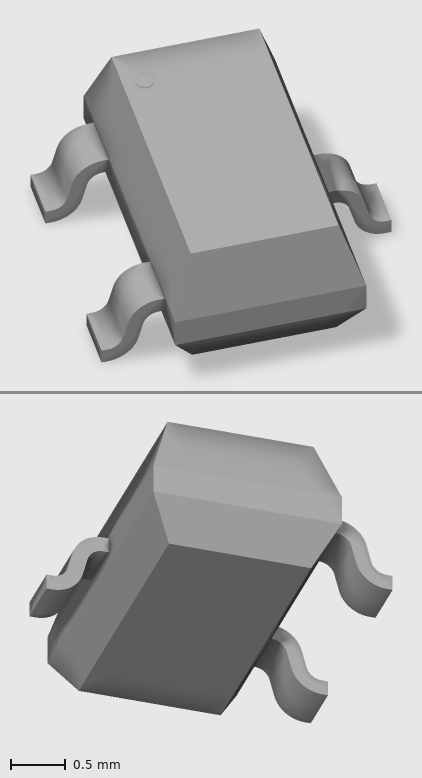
import cadquery as cq
import math

housing_length = 3.1
housing_width = 1.805
band_bottom = 0.385
band_top = 0.67
housing_height = 1.293
top_inset = 0.205
bottom_inset = 0.223

mark_diameter = 0.155
mark_thickness = 0.005
mark_from_end = 0.605
mark_from_side = 0.405

lead_span = 3.0
lead_width = 0.505
lead_thickness = 0.15
lead_top = 0.65
lead_pitch = 1.9
inner_radius = 0.152
outer_radius = inner_radius + lead_thickness
bend_angle = math.radians(75)


def frustum(base_z, base_inset, top_z, upper_inset):
    """Rectangular block with sloping sides, each end inset from the full housing size."""
    return (
        cq.Workplane("XY", origin=(0, 0, base_z))
        .rect(housing_length - 2 * base_inset, housing_width - 2 * base_inset)
        .workplane(offset=top_z - base_z)
        .rect(housing_length - 2 * upper_inset, housing_width - 2 * upper_inset)
        .loft(ruled=True)
    )


def make_housing():
    lower_part = frustum(0, bottom_inset, band_bottom, 0)
    band = frustum(band_bottom, 0, band_top, 0)
    upper_part = frustum(band_top, 0, housing_height, top_inset)
    return lower_part.union(band).union(upper_part)


def make_mark():
    mark_x = -housing_length / 2 + mark_from_end
    mark_y = -housing_width / 2 + mark_from_side
    return (
        cq.Workplane("XY", origin=(mark_x, mark_y, housing_height))
        .circle(mark_diameter / 2)
        .extrude(mark_thickness)
    )


def make_lead(center_x):
    """S-shaped strip leaving the +Y side of the housing and ending in a foot at Z = 0."""
    root_y = housing_width / 2
    tip_y = lead_span / 2

    bend_reach = (outer_radius + inner_radius) * math.sin(bend_angle)
    bend_drop = (outer_radius + inner_radius) * (1 - math.cos(bend_angle))
    leg_drop = lead_top - lead_thickness - bend_drop
    leg_reach = leg_drop / math.tan(bend_angle)
    flat_length = (tip_y - root_y - bend_reach - leg_reach) / 2

    shoulder_y = root_y + flat_length
    shoulder_z = lead_top - outer_radius
    foot_y = tip_y - flat_length
    foot_z = outer_radius

    def on_shoulder(radius, angle):
        return (shoulder_y + radius * math.sin(angle), shoulder_z + radius * math.cos(angle))

    def on_foot(radius, angle):
        return (foot_y - radius * math.sin(angle), foot_z - radius * math.cos(angle))

    half_bend = bend_angle / 2
    return (
        cq.Workplane("YZ", origin=(center_x - lead_width / 2, 0, 0))
        .moveTo(root_y, lead_top)
        .lineTo(shoulder_y, lead_top)
        .threePointArc(on_shoulder(outer_radius, half_bend), on_shoulder(outer_radius, bend_angle))
        .lineTo(*on_foot(inner_radius, bend_angle))
        .threePointArc(on_foot(inner_radius, half_bend), on_foot(inner_radius, 0))
        .lineTo(tip_y, lead_thickness)
        .lineTo(tip_y, 0)
        .lineTo(foot_y, 0)
        .threePointArc(on_foot(outer_radius, half_bend), on_foot(outer_radius, bend_angle))
        .lineTo(*on_shoulder(inner_radius, bend_angle))
        .threePointArc(on_shoulder(inner_radius, half_bend), on_shoulder(inner_radius, 0))
        .lineTo(root_y, lead_top - lead_thickness)
        .close()
        .extrude(lead_width)
    )


housing = make_housing()
mark = make_mark()

leads = [make_lead(0).val()]
for side in (-1, 1):
    front_lead = make_lead(side * lead_pitch / 2).mirror("XZ")
    leads.append(front_lead.val())

result = cq.Compound.makeCompound([housing.val(), mark.val(), *leads])